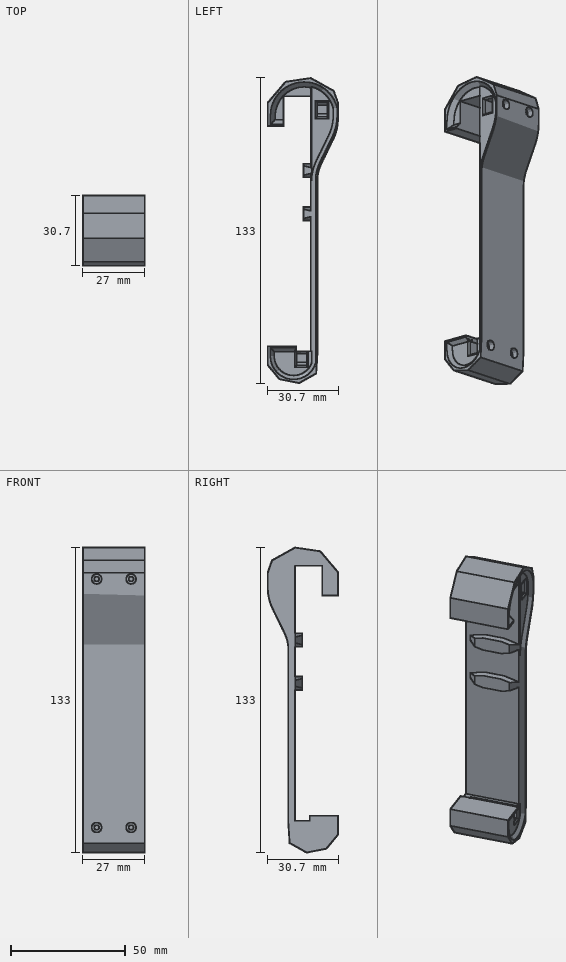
import math

import cadquery as cq


width = 27.0
height = 132.97
reach = 18.75
belly = 11.98
strip_thickness = 3.0
side_x = -width / 2

upper_centre_z = height - 16.5
upper_lip_z = height - 21.0
upper_lip_y = 11.8
upper_mouth_z = 124.9
upper_facets = [(reach, 122.15), (10.95, 131.35), (0, height), (-10.1, 127.35), (-belly, 122.0)]

belly_flat = 1.2
blend_top_z = upper_centre_z - belly_flat
blend_bottom_z = 88.45
blend_angle = math.radians(26)
blend_upper_share = 0.55

lower_centre_z = 11.75
lower_lip_z = 16.2
lower_lip_y = 6.3
lower_seat_z = 14.0
strip_end_z = 12.65
lower_facets = [(-2.45, 4.2), (5.05, 0), (13.6, 1.7), (reach, 7.9)]

tip_rim = 1.2
lip_rim = 0.75
belly_rim = 0.45
strip_rim = 0.85
wall_slope = 45
panel_depth = 1.7
strip_depth = strip_thickness - strip_rim
recess_tip_y = reach - tip_rim
recess_belly_y = -(belly - belly_rim)
recess_strip_y = -strip_depth
upper_recess_radius = 14.75
lower_recess_radius = 10.1
recess_open_y = 5.0

slot_width = 4.3
slot_height = 6.4
slot_chamfer = 0.75
slot_end_height = 3.8
slot_end_wall = 2.0
screw_spacing = 15.0
head_diameter = 4.3
head_depth = 3.0
screw_diameter = 2.1
upper_slot = (-5.0, 119.2)
lower_slot = (3.95, 11.0)
upper_front_y = -belly
lower_front_y = -strip_thickness

tab_reach = 3.2
tab_height = 6.0
tab_tip_height = 2.6
tab_taper_length = 7.0
tab_centres_z = (92.65, 73.8)


def side_plane(offset=0.0):
    """YZ plane at the recessed side, moved inwards by offset."""
    return cq.Workplane("YZ", origin=(side_x + offset, 0, 0))


def blend_down(path, top, bottom):
    """Continue a path with a convex arc, a slanted line and a concave arc, all tangent."""
    drop = bottom[0] - top[0]
    fall = top[1] - bottom[1]
    sine = math.sin(blend_angle)
    sagitta = 1 - math.cos(blend_angle)
    radii_sum = (fall * sine - drop * math.cos(blend_angle)) / sagitta
    upper_radius = blend_upper_share * radii_sum
    lower_radius = radii_sum - upper_radius
    half_sine = math.sin(blend_angle / 2)
    half_sagitta = 1 - math.cos(blend_angle / 2)
    upper_mid = (top[0] + upper_radius * half_sagitta, top[1] - upper_radius * half_sine)
    upper_end = (top[0] + upper_radius * sagitta, top[1] - upper_radius * sine)
    lower_start = (bottom[0] - lower_radius * sagitta, bottom[1] + lower_radius * sine)
    lower_mid = (bottom[0] - lower_radius * half_sagitta, bottom[1] + lower_radius * half_sine)
    path = path.threePointArc(upper_mid, upper_end).lineTo(*lower_start)
    return path.threePointArc(lower_mid, bottom)


def make_body():
    path = side_plane().moveTo(reach, upper_lip_z)
    for point in upper_facets:
        path = path.lineTo(*point)
    path = path.lineTo(-belly, blend_top_z)
    path = blend_down(path, (-belly, blend_top_z), (-strip_thickness, blend_bottom_z))
    path = path.lineTo(-strip_thickness, strip_end_z)
    for point in lower_facets:
        path = path.lineTo(*point)
    path = path.lineTo(reach, lower_lip_z).lineTo(lower_lip_y, lower_lip_z)
    path = path.lineTo(lower_lip_y, lower_seat_z).lineTo(0, lower_seat_z)
    path = path.lineTo(0, upper_mouth_z).lineTo(upper_lip_y, upper_mouth_z)
    return path.lineTo(upper_lip_y, upper_lip_z).close().extrude(width)


def hook_arc(centre_z, radius, front_y, direction):
    """Middle and front points of an arc that leaves the hook tip and stops at front_y.

    direction is +1 for an arc over the top and -1 for an arc under the bottom.
    """
    centre_y = recess_tip_y - radius
    sweep = math.acos((front_y - centre_y) / radius)

    def point_at(angle):
        return (centre_y + radius * math.cos(angle), centre_z + direction * radius * math.sin(angle))

    return point_at(sweep / 2), point_at(sweep)


def make_recess(depth, follow_belly):
    """Tapered recess; its front wall follows the belly or stays in line with the strip."""
    upper_rim_z = upper_lip_z + lip_rim
    lower_rim_z = lower_lip_z - lip_rim
    upper_front_wall_y = recess_belly_y if follow_belly else recess_strip_y

    path = side_plane().moveTo(recess_tip_y, upper_rim_z).lineTo(recess_tip_y, upper_centre_z)
    path = path.threePointArc(*hook_arc(upper_centre_z, upper_recess_radius, upper_front_wall_y, 1))
    if follow_belly:
        path = path.lineTo(recess_belly_y, upper_centre_z)
        path = blend_down(path, (recess_belly_y, upper_centre_z), (recess_strip_y, blend_bottom_z))
    lower_middle, lower_start = hook_arc(lower_centre_z, lower_recess_radius, recess_strip_y, -1)
    path = path.lineTo(*lower_start).threePointArc(lower_middle, (recess_tip_y, lower_centre_z))
    path = path.lineTo(recess_tip_y, lower_rim_z).lineTo(recess_open_y, lower_rim_z)
    path = path.lineTo(recess_open_y, upper_rim_z).close()
    return path.extrude(depth, taper=wall_slope)


def make_strip_recess():
    """Deeper recess along the strip and the inside of the upper hook, above the lower hook."""
    upper_part = side_plane().moveTo(-belly, lower_seat_z).lineTo(reach, lower_seat_z)
    upper_part = upper_part.lineTo(reach, height).lineTo(-belly, height).close().extrude(strip_depth)
    return make_recess(strip_depth, False).intersect(upper_part)


def make_slot(centre):
    """Slot from the recess floor: chamfered mouth, straight channel, narrowing end."""
    end_taper = (slot_height - slot_end_height) / 2
    straight_end = width - slot_end_wall - end_taper
    channel = side_plane(panel_depth).center(*centre).rect(slot_width, slot_height)
    channel = channel.extrude(straight_end - panel_depth)
    mouth = side_plane(panel_depth).center(*centre)
    mouth = mouth.rect(slot_width + 2 * slot_chamfer, slot_height + 2 * slot_chamfer)
    mouth = mouth.extrude(slot_chamfer, taper=wall_slope)
    end = side_plane(straight_end).center(*centre).rect(slot_width, slot_height)
    end = end.workplane(offset=end_taper).rect(slot_width, slot_end_height).loft(ruled=True)
    return channel.union(mouth).union(end)


def make_screw_holes(front_y, slot):
    """Pair of counterbored holes from the front face into a slot."""
    slot_y, slot_z = slot
    front = cq.Workplane("XZ", origin=(0, front_y, slot_z))
    places = [(-screw_spacing / 2, 0), (screw_spacing / 2, 0)]
    heads = front.pushPoints(places).circle(head_diameter / 2).extrude(-head_depth)
    shanks = front.pushPoints(places).circle(screw_diameter / 2).extrude(front_y - slot_y)
    return heads.union(shanks)


def make_tab(centre_z):
    """Tab with a wedge-shaped end whose top continues the slope of the strip's edge."""
    start_x = side_x + strip_depth
    full_x = start_x + tab_taper_length
    half_tip = tab_tip_height / 2
    half_full = tab_height / 2
    plan = [
        (start_x, -half_tip), (full_x, -half_full), (-full_x, -half_full), (-start_x, -half_tip),
        (-start_x, half_tip), (-full_x, half_full), (full_x, half_full), (start_x, half_tip),
    ]
    side = [(start_x, 0), (start_x + tab_reach, tab_reach), (-start_x - tab_reach, tab_reach), (-start_x, 0)]
    tab = cq.Workplane("XZ", origin=(0, 0, centre_z)).polyline(plan).close().extrude(-tab_reach)
    wedge = cq.Workplane("XY", origin=(0, 0, centre_z)).polyline(side).close().extrude(half_full, both=True)
    return tab.intersect(wedge)


result = make_body()
result = result.cut(make_recess(panel_depth, True))
result = result.cut(make_strip_recess())
for slot, front_y in ((upper_slot, upper_front_y), (lower_slot, lower_front_y)):
    result = result.cut(make_slot(slot))
    result = result.cut(make_screw_holes(front_y, slot))
for tab_z in tab_centres_z:
    result = result.union(make_tab(tab_z))